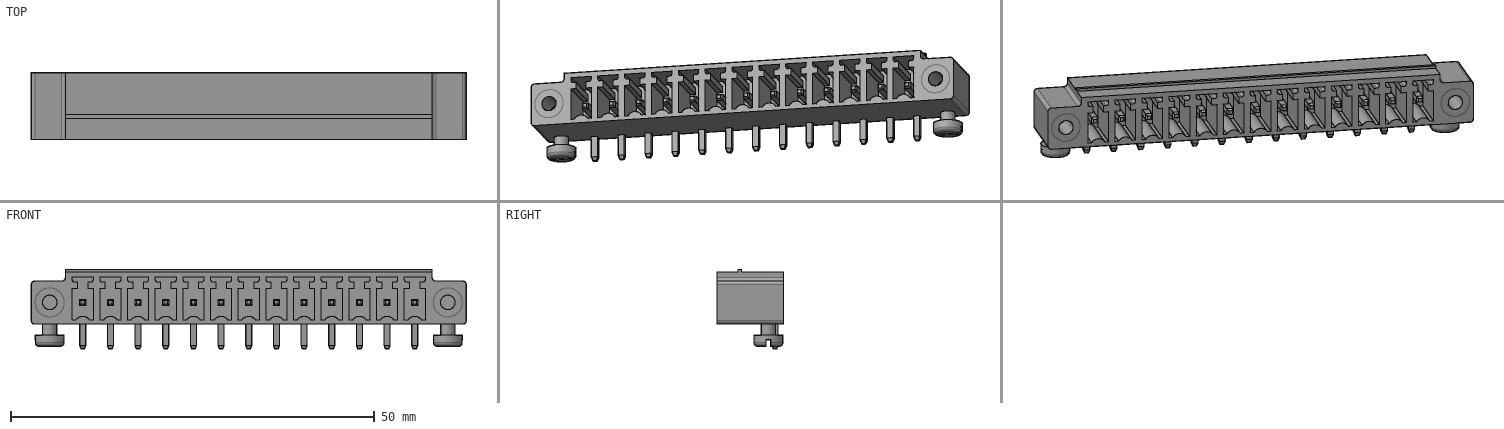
import cadquery as cq

PIN_COUNT = 13
PIN_PITCH = 3.81
PIN_SIZE = 0.86
PIN_TIP_SIZE = 0.5
PIN_TIP_LENGTH = 0.5
PIN_DROP = 3.4
PIN_HEIGHT = 3.0
PIN_FRONT_Y = 2.0
PIN_TAIL_Y = 8.0

HOUSING_LENGTH = 59.92
HOUSING_DEPTH = 9.2
HOUSING_HEIGHT = 7.2
FLANGE_HEIGHT = 5.95
HOUSING_RADIUS = 0.5
SCREW_TO_PIN = 4.55
PIN_ROW_LENGTH = (PIN_COUNT - 1) * PIN_PITCH
END_WALL = 2.4
RAISED_LENGTH = PIN_ROW_LENGTH + 2 * END_WALL

RIB_HEIGHT = 0.35
RIB_WIDTH = 0.54
RIB_FRONT_Y = 2.88

CAVITY_WIDTH = 2.9
CAVITY_DEPTH = 6.9
CAVITY_BOTTOM = 0.55
CAVITY_SHOULDER = 4.9
CAVITY_HOOK = 5.8
CAVITY_TOP = 6.5
HOOK_RADIUS = 0.35
NECK_WIDTH = 1.45
HUMP_WIDTH = 1.9
HUMP_HEIGHT = 0.54

FLANGE_X = PIN_ROW_LENGTH / 2 + SCREW_TO_PIN
BUSHING_DIAMETER = 4.0
BUSHING_HOLE_DIAMETER = 2.0
BUSHING_DEPTH = 5.0
BUSHING_HEIGHT = 3.0

SCREW_Y = 7.1
SHANK_DIAMETER = 2.0
SHANK_LENGTH = 1.5
SCREW_HEAD_DIAMETER = 4.0
SCREW_HEAD_HEIGHT = 1.55
SCREW_HEAD_RADIUS = 0.5
SLOT_WIDTH = 0.6
SLOT_DEPTH = 0.9


def bushing_workplane(x):
    """Workplane on the front face at a bushing axis, facing back into the flange."""
    return cq.Workplane(cq.Plane((x, 0, BUSHING_HEIGHT), (1, 0, 0), (0, 1, 0)))


def make_housing():
    """Long block with a lower flange at each end and rounded lengthwise corners."""
    lower = (
        cq.Workplane("XY")
        .box(HOUSING_LENGTH, HOUSING_DEPTH, FLANGE_HEIGHT, centered=(True, False, False))
        .edges("|Y")
        .fillet(HOUSING_RADIUS)
    )
    raised = cq.Workplane("XY").box(
        RAISED_LENGTH, HOUSING_DEPTH, HOUSING_HEIGHT, centered=(True, False, False)
    )
    step_x = RAISED_LENGTH / 2
    reach = HOUSING_RADIUS / 2
    inner_corners = cq.selectors.BoxSelector(
        (-step_x - reach, 0, FLANGE_HEIGHT - reach),
        (step_x + reach, HOUSING_DEPTH, FLANGE_HEIGHT + reach),
    )
    return lower.union(raised).edges("|Y").edges(inner_corners).fillet(HOUSING_RADIUS)


def make_rib():
    """Low rectangular rib running the length of the raised part."""
    return (
        cq.Workplane("XY", origin=(0, RIB_FRONT_Y, HOUSING_HEIGHT))
        .box(RAISED_LENGTH, RIB_WIDTH, RIB_HEIGHT, centered=(True, False, False))
    )


def make_cavity(x):
    """Keyed pocket: wide body over a rounded hump, a narrow neck and a wide head."""
    half = CAVITY_WIDTH / 2
    neck = NECK_WIDTH / 2
    hump = HUMP_WIDTH / 2
    hook_end = half - HOOK_RADIUS
    hook_top = CAVITY_HOOK + HOOK_RADIUS
    outline = (
        cq.Workplane("XZ", origin=(x, 0, 0))
        .moveTo(-half, CAVITY_BOTTOM)
        .lineTo(-hump, CAVITY_BOTTOM)
        .threePointArc((0, CAVITY_BOTTOM + HUMP_HEIGHT), (hump, CAVITY_BOTTOM))
        .lineTo(half, CAVITY_BOTTOM)
        .lineTo(half, CAVITY_SHOULDER)
        .lineTo(neck, CAVITY_SHOULDER)
        .lineTo(neck, CAVITY_HOOK)
        .lineTo(hook_end, CAVITY_HOOK)
        .radiusArc((half, hook_top), -HOOK_RADIUS)
        .lineTo(half, CAVITY_TOP)
        .lineTo(-half, CAVITY_TOP)
        .lineTo(-half, hook_top)
        .radiusArc((-hook_end, CAVITY_HOOK), -HOOK_RADIUS)
        .lineTo(-neck, CAVITY_HOOK)
        .lineTo(-neck, CAVITY_SHOULDER)
        .lineTo(-half, CAVITY_SHOULDER)
        .close()
    )
    return outline.extrude(-CAVITY_DEPTH)


def make_leg(start, length):
    """Square bar extruded from a workplane, with a tapered tip at its far end."""
    bar = start.rect(PIN_SIZE, PIN_SIZE).extrude(length - PIN_TIP_LENGTH)
    tip = (
        start.workplane(offset=length - PIN_TIP_LENGTH)
        .rect(PIN_SIZE, PIN_SIZE)
        .workplane(offset=PIN_TIP_LENGTH)
        .rect(PIN_TIP_SIZE, PIN_TIP_SIZE)
        .loft()
    )
    return bar.union(tip)


def make_pin(x):
    """Bent pin: a leg pointing forward in the cavity and a tail pointing down."""
    bend_y = PIN_TAIL_Y + PIN_SIZE / 2
    bend_z = PIN_HEIGHT + PIN_SIZE / 2
    forward = make_leg(cq.Workplane("XZ", origin=(x, bend_y, PIN_HEIGHT)), bend_y - PIN_FRONT_Y)
    tail_plane = cq.Plane((x, PIN_TAIL_Y, bend_z), (1, 0, 0), (0, 0, -1))
    tail = make_leg(cq.Workplane(tail_plane), bend_z + PIN_DROP)
    return forward.union(tail)


def make_bushing_pocket(x):
    """Round seat of a bushing, running back into a flange from the front face."""
    return bushing_workplane(x).circle(BUSHING_DIAMETER / 2).extrude(BUSHING_DEPTH)


def make_bushing(x):
    """Tube that fills its seat and leaves the screw hole open."""
    return (
        bushing_workplane(x)
        .circle(BUSHING_DIAMETER / 2)
        .circle(BUSHING_HOLE_DIAMETER / 2)
        .extrude(BUSHING_DEPTH)
    )


def make_screw(x):
    """Slotted cheese-head screw hanging below a flange."""
    head_bottom = -SHANK_LENGTH - SCREW_HEAD_HEIGHT
    head = (
        cq.Workplane("XY", origin=(x, SCREW_Y, head_bottom))
        .circle(SCREW_HEAD_DIAMETER / 2)
        .extrude(SCREW_HEAD_HEIGHT)
        .faces("<Z")
        .edges()
        .fillet(SCREW_HEAD_RADIUS)
    )
    slot = (
        cq.Workplane("XY", origin=(x, SCREW_Y, head_bottom))
        .box(SCREW_HEAD_DIAMETER, SLOT_WIDTH, SLOT_DEPTH, centered=(True, True, False))
    )
    shank = (
        cq.Workplane("XY", origin=(x, SCREW_Y, -SHANK_LENGTH))
        .circle(SHANK_DIAMETER / 2)
        .extrude(SHANK_LENGTH)
    )
    return head.cut(slot).union(shank)


def collect(make_feature, positions):
    """Workplane holding one copy of a feature at each X position."""
    return cq.Workplane("XY").newObject([make_feature(x).val() for x in positions])


pin_positions = [(i - (PIN_COUNT - 1) / 2) * PIN_PITCH for i in range(PIN_COUNT)]
flange_positions = [-FLANGE_X, FLANGE_X]

body = make_housing().union(make_rib())
body = body.cut(collect(make_cavity, pin_positions))
body = body.cut(collect(make_bushing_pocket, flange_positions))
body = body.union(collect(make_pin, pin_positions))
body = body.union(collect(make_screw, flange_positions))

result = body.union(collect(make_bushing, flange_positions), clean=False)